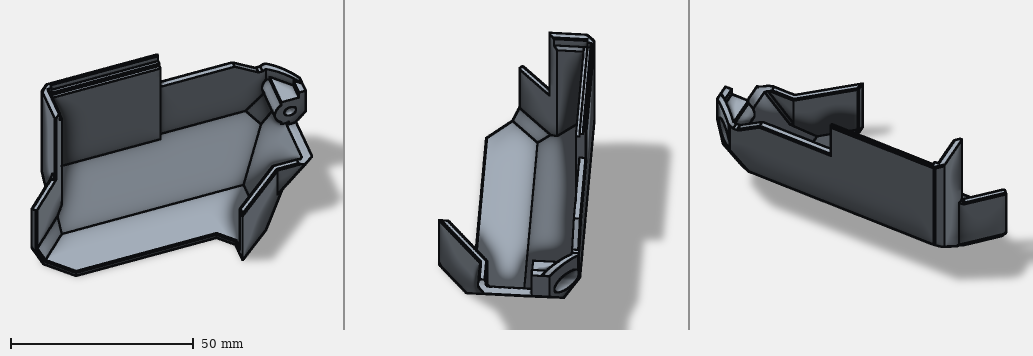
import cadquery as cq
import math

TINY = 0.01
CLEAR = 0.8

LENGTH = 82.6
HEIGHT = 47.5
TIP_X = 39.8
BIG = 247.9

WALL = 2.0
PANEL_WALL = 1.65
EDGE_BREAK = 0.3

FRONT_Y = 9.6
FRONT_INNER = FRONT_Y + WALL
FRONT_END_X = 12.6
FRONT_CORNER = 2.0
PANEL_TIP_X = 20.4
PANEL_INNER = PANEL_TIP_X + PANEL_WALL * math.sqrt(2)
PANEL_TOP = 21.8
PANEL_RAMP = 0.7
BEVEL_TOP = 5.0
BEVEL_ANGLE = 35.0

FLOOR_EDGE_X = PANEL_TIP_X + FRONT_Y
FLARE_Y = 54.5
NOTCH_Y = 50.4
RIGHT_X = 27.5
FLARE_START_Y = 69.1
RIGHT_TOP = 19.0
RIGHT_CORNER = 1.8

LEFT_SLOPE = 14.95
BACK_FOOT_Y = 64.3
BACK_ANGLE = 50.0
CORNER_LEVEL = 54.0

TALL_END_Y = 43.8
MID_TOP = 35.6
RAMP_TOP_Y = 65.7
RAMP_FOOT_Y = 72.6
LOW_TOP = 30.5

LINER = 1.0
LIP = 1.0
LIP_DEPTH = 2.0
LINER_DROP = 1.0
FRONT_LINER = 0.9

HINGE_Y = 78.1
HINGE_Z = 23.55
HINGE_END_X = 12.5
HINGE_RADIUS = 8.2
OBLIQUE_Y = 75.1
CHEEK_X = 2.3
KNUCKLE_RADIUS = 4.5
BLOCK_Y = 75.5
BLOCK_TOP = 28.35
RIM_TOP = 30.4
RIM = 2.0
PIN_DIAMETER = 3.4
HEAD_DIAMETER = 6.5
HEAD_SEAT_X = 8.3
SCOOP_RADIUS = 5.4

LEFT_NORMAL = (-1, 0, -1)
BACK_NORMAL = (0, math.sin(math.radians(BACK_ANGLE)), -math.cos(math.radians(BACK_ANGLE)))
CORNER_NORMAL = (-2, 1, -1)
RIGHT_CORNER_NORMAL = (1, BACK_NORMAL[1], BACK_NORMAL[2])
FLARE_RUN = TIP_X - RIGHT_X
FLARE_RISE = FLARE_START_Y - FLARE_Y
FLARE_NORMAL = (FLARE_RISE, FLARE_RUN, 0)
BEVEL_RUN = math.cos(math.radians(BEVEL_ANGLE)) / math.sqrt(2)
BEVEL_NORMAL = (-BEVEL_RUN, -BEVEL_RUN, -math.sin(math.radians(BEVEL_ANGLE)))


def box(x, y, z):
    """Box from three (low, high) ranges."""
    sizes = [high - low for low, high in (x, y, z)]
    return cq.Workplane("XY", origin=(x[0], y[0], z[0])).box(*sizes, centered=False)


def prism(points, bottom, top):
    """Vertical prism over a plan outline."""
    return cq.Workplane("XY", origin=(0, 0, bottom)).polyline(points).close().extrude(top - bottom)


def beyond(point, normal, inset=0.0):
    """Half space outside a plane that is moved inward by inset."""
    unit = cq.Vector(*normal).normalized()
    origin = cq.Vector(*point) - unit * inset
    plane = cq.Plane(origin=origin.toTuple(), normal=unit.toTuple())
    return cq.Workplane(plane).rect(BIG, BIG).extrude(BIG)


def rod(radius, x_start, x_end):
    """Cylinder on the hinge axis."""
    start = cq.Workplane("YZ", origin=(x_start, HINGE_Y, HINGE_Z))
    return start.circle(radius).extrude(x_end - x_start)


def trim_slopes(solid, inset):
    """Cut a solid back to the sloped outer faces, each moved inward by inset."""
    solid = solid.cut(beyond((LEFT_SLOPE, 0, 0), LEFT_NORMAL, inset))
    solid = solid.cut(beyond((0, BACK_FOOT_Y, 0), BACK_NORMAL, inset))
    solid = solid.cut(beyond((0, CORNER_LEVEL, 0), CORNER_NORMAL, inset))
    corner = beyond((RIGHT_X - RIGHT_CORNER, BACK_FOOT_Y, 0), RIGHT_CORNER_NORMAL, inset)
    return solid.cut(corner.intersect(beyond((TIP_X, FLARE_Y, 0), FLARE_NORMAL, inset)))


def bevel_tool(inset, top):
    """Material removed by the bevel at the foot of the front panel."""
    tool = beyond((PANEL_TIP_X, 0, BEVEL_TOP), BEVEL_NORMAL, inset)
    return tool.intersect(box((-BIG, BIG), (-BIG, BIG), (-BIG, top)))


def make_envelope():
    """Outside of the part as a solid block, full height."""
    outline = [
        (0, FRONT_Y + FRONT_CORNER),
        (FRONT_CORNER, FRONT_Y),
        (PANEL_TIP_X - FRONT_Y, FRONT_Y),
        (PANEL_TIP_X, 0),
        (FLOOR_EDGE_X, FRONT_Y),
        (FLOOR_EDGE_X, NOTCH_Y),
        (FLOOR_EDGE_X + FLARE_Y - NOTCH_Y, FLARE_Y),
        (TIP_X, FLARE_Y),
        (RIGHT_X, FLARE_START_Y),
        (RIGHT_X, LENGTH),
        (LENGTH - OBLIQUE_Y, LENGTH),
        (0, OBLIQUE_Y),
    ]
    solid = trim_slopes(prism(outline, 0, HEIGHT), 0)
    return solid.cut(bevel_tool(0, BEVEL_TOP))


def make_cavity():
    """Space inside the walls, open toward the right and the top."""
    flare_angle = math.atan2(FLARE_RUN, FLARE_RISE)
    right_inner = RIGHT_X - WALL
    knee_y = FLARE_START_Y - WALL * math.tan(flare_angle / 2)
    far_x = 2 * TIP_X
    far_y = knee_y - (far_x - right_inner) * FLARE_RISE / FLARE_RUN
    outline = [
        (WALL, FRONT_INNER),
        (PANEL_INNER - FRONT_INNER, FRONT_INNER),
        (far_x, PANEL_INNER - far_x),
        (2 * far_x, far_y),
        (far_x, far_y),
        (right_inner, knee_y),
        (right_inner, LENGTH),
        (LENGTH - OBLIQUE_Y + CHEEK_X, LENGTH),
        (WALL, OBLIQUE_Y - CHEEK_X + WALL),
    ]
    solid = trim_slopes(prism(outline, WALL, HEIGHT), WALL)
    inside_panel = beyond((PANEL_INNER, 0, 0), (1, 1, 0))
    return solid.cut(bevel_tool(PANEL_WALL, RIGHT_TOP).intersect(inside_panel))


def make_liner(envelope):
    """Thicker lining inside the tall walls, seated on the left slope."""
    ledge = HEIGHT - LIP_DEPTH - LINER_DROP
    left = box((WALL / 2, WALL + LINER), (FRONT_INNER, TALL_END_Y), (WALL, ledge))
    front_right = PANEL_INNER - FRONT_INNER
    front = box((WALL / 2, front_right), (FRONT_Y + WALL / 2, FRONT_INNER + FRONT_LINER), (WALL, ledge))
    slant = beyond((front_right, FRONT_INNER, 0), (1, 1, 0))
    front = front.faces(">Z").edges(">Y").chamfer(FRONT_LINER).cut(slant)
    return left.union(front).intersect(envelope)


def trim_tops(solid):
    """Lower the panel, the right wall and the back part of the left wall."""
    front = box((0, FRONT_END_X), (0, FRONT_Y), (PANEL_TOP, HEIGHT))
    solid = solid.cut(front.faces("<Z").edges(">Y").chamfer(PANEL_RAMP))
    solid = solid.cut(box((FRONT_END_X, TIP_X), (0, TALL_END_Y), (PANEL_TOP, HEIGHT)))
    solid = solid.cut(box((HINGE_END_X, TIP_X), (TALL_END_Y, LENGTH), (RIGHT_TOP, HEIGHT)))
    arc_start = HINGE_Y - math.sqrt(HINGE_RADIUS ** 2 - (LOW_TOP - HINGE_Z) ** 2)
    arc_end = HINGE_Z + math.sqrt(HINGE_RADIUS ** 2 - (LENGTH - HINGE_Y) ** 2)
    above = (
        cq.Workplane("YZ")
        .moveTo(TALL_END_Y, HEIGHT)
        .lineTo(TALL_END_Y, MID_TOP)
        .lineTo(RAMP_TOP_Y, MID_TOP)
        .lineTo(RAMP_FOOT_Y, LOW_TOP)
        .lineTo(arc_start, LOW_TOP)
        .threePointArc((HINGE_Y, HINGE_Z + HINGE_RADIUS), (LENGTH, arc_end))
        .lineTo(LENGTH, HEIGHT)
        .close()
        .extrude(HINGE_END_X)
    )
    return solid.cut(above)


def make_knuckle(envelope):
    """Hinge block, its rounded nose and the raised rim along the back."""
    inside = (WALL, HINGE_END_X)
    block = box(inside, (BLOCK_Y, LENGTH), (HINGE_Z - KNUCKLE_RADIUS, BLOCK_TOP))
    rim = box(inside, (LENGTH - RIM, LENGTH), (HINGE_Z, RIM_TOP))
    nose = rod(KNUCKLE_RADIUS, *inside)
    return block.union(rim).union(nose).intersect(envelope)


def break_edges(solid, low, high):
    """Chamfer the edges whose midpoints lie inside a box."""
    return solid.edges(cq.selectors.BoxSelector(low, high)).chamfer(EDGE_BREAK)


def break_outer_edges(solid):
    """Small chamfers along the outer rims."""
    left_low = (-TINY, FRONT_Y + TINY, HEIGHT / 2)
    left_high = (FRONT_CORNER - TINY, RAMP_FOOT_Y, HEIGHT + TINY)
    solid = break_edges(solid, left_low, left_high)
    solid = break_edges(solid, (-TINY, OBLIQUE_Y - TINY, 0), (TINY, OBLIQUE_Y + TINY, HEIGHT))
    foot_low = (FRONT_CORNER, FRONT_Y - TINY, BEVEL_TOP - CLEAR)
    foot_high = (PANEL_TIP_X - FRONT_Y - CLEAR, FRONT_Y + TINY, LEFT_SLOPE)
    solid = break_edges(solid, foot_low, foot_high)
    panel_low = (FRONT_END_X + CLEAR, 0, PANEL_TOP - TINY)
    panel_high = (PANEL_TIP_X - TINY, FRONT_Y - TINY, PANEL_TOP + TINY)
    solid = break_edges(solid, panel_low, panel_high)
    flare_low = (RIGHT_X + TINY, FLARE_Y - TINY, RIGHT_TOP - TINY)
    flare_high = (TIP_X + TINY, FLARE_START_Y - TINY, RIGHT_TOP + TINY)
    return break_edges(solid, flare_low, flare_high)


def break_inner_edges(solid):
    """Small chamfers along the open side and the inner rims."""
    end_x = (PANEL_TIP_X + PANEL_INNER) / 2 - TINY
    far_x = TIP_X - WALL
    solid = break_edges(solid, (end_x, 0, WALL - TINY), (far_x, FLARE_Y + TINY, RIGHT_TOP - CLEAR))
    solid = break_edges(solid, (end_x, 0, -TINY), (TIP_X, FLARE_Y + TINY, TINY))
    right_low = (RIGHT_X - WALL - TINY, FLARE_Y + CLEAR, RIGHT_TOP - TINY)
    right_high = ((RIGHT_X + TIP_X - WALL) / 2, LENGTH, RIGHT_TOP + TINY)
    solid = break_edges(solid, right_low, right_high)
    front_low = (WALL, FRONT_INNER - TINY, HEIGHT - TINY)
    front_high = (FRONT_END_X, FRONT_INNER + TINY, HEIGHT + TINY)
    return break_edges(solid, front_low, front_high)


envelope = make_envelope()
body = break_outer_edges(trim_tops(envelope))
body = break_inner_edges(body.cut(make_cavity()))
body = body.union(make_liner(envelope)).union(make_knuckle(envelope))

lap_start = FRONT_INNER + FRONT_LINER
body = body.cut(box((LIP, WALL), (lap_start, TALL_END_Y), (HEIGHT - LIP_DEPTH, HEIGHT)))

body = body.cut(rod(PIN_DIAMETER / 2, 0, HINGE_END_X))
body = body.cut(rod(HEAD_DIAMETER / 2, 0, HEAD_SEAT_X))
result = body.cut(rod(SCOOP_RADIUS, HINGE_END_X, TIP_X))